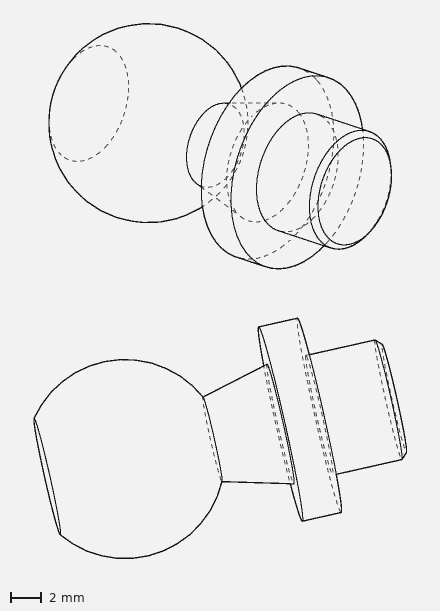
import cadquery as cq
import math

total_length = 23.2
ball_diameter = 13.0
ball_flat_diameter = 7.8
neck_small_diameter = 5.65
pin_diameter = 8.0
neck_large_diameter = pin_diameter
flange_diameter = ball_diameter
flange_thickness = 2.6
pin_length = 5.0
pin_chamfer = 0.4

ball_radius = ball_diameter / 2
ball_flat_radius = ball_flat_diameter / 2
neck_small_radius = neck_small_diameter / 2
neck_large_radius = neck_large_diameter / 2
flange_radius = flange_diameter / 2
pin_radius = pin_diameter / 2

ball_center_x = math.sqrt(ball_radius**2 - ball_flat_radius**2)
neck_start_x = ball_center_x + math.sqrt(ball_radius**2 - neck_small_radius**2)
flange_end_x = total_length - pin_length
flange_start_x = flange_end_x - flange_thickness

profile = (
    cq.Workplane("XY")
    .lineTo(0, ball_flat_radius)
    .threePointArc((ball_center_x, ball_radius), (neck_start_x, neck_small_radius))
    .lineTo(flange_start_x, neck_large_radius)
    .lineTo(flange_start_x, flange_radius)
    .lineTo(flange_end_x, flange_radius)
    .lineTo(flange_end_x, pin_radius)
    .lineTo(total_length - pin_chamfer, pin_radius)
    .lineTo(total_length, pin_radius - pin_chamfer)
    .lineTo(total_length, 0)
    .close()
)

result = profile.revolve(360, (0, 0, 0), (1, 0, 0))